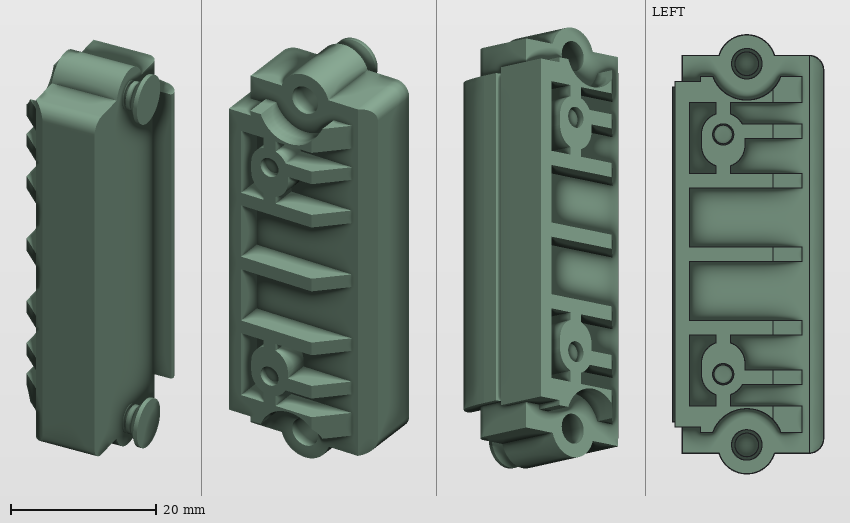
import cadquery as cq
HOUSING_FRONT_X = 4.0
HOUSING_BACK_X = 14.0
OVERALL_X = 17.0
HOUSING_TOP_Y = 19.5
OVERALL_Y = 20.8
HOUSING_HALF_Z = 27.4
OVERALL_HALF_Z = 60.47 / 2

HOUSING_BEVEL = 2.0
CORNER_RADIUS = 2.1
BACK_EDGE_RADIUS = 1.5

EAR_RADIUS = 4.0
EAR_Y = 10.6
EAR_Z = OVERALL_HALF_Z - EAR_RADIUS
SCREW_RADIUS = 2.1
SHANK_RADIUS = 1.63
SCREW_HEAD_RADIUS = 3.55
SCREW_TIP_X = 10.0
COLLAR_START_X = HOUSING_BACK_X - 1.0
COLLAR_END_X = HOUSING_BACK_X + 0.1
NECK_START_X = HOUSING_BACK_X + 0.5
HEAD_FLARE_X = 15.25
HEAD_FLARE_MID = (15.75, 2.68)
HEAD_RIM_X = 16.4

LIP_HALF_Z = 23.05
LIP_FRONT_X = 8.6
LIP_CURVE_START_X = 11.0
LIP_CURVE_MID = (15.1, 20.28)
LIP_NOSE_Y = 18.3
LIP_UNDERSIDE_Y = 17.8
LIP_NOSE_RADIUS = 0.4
LIP_RAMP_LENGTH = 0.5
LIP_RAMP_HEIGHT = 0.7

FRAME_TOP_Y = 20.5
FRAME_SKIRT_X = 7.9
FRAME_BEVEL_FRONT_Y = 7.0
FRAME_BEVEL_BACK_Y = FRAME_BEVEL_FRONT_Y - HOUSING_FRONT_X
FRAME_HALF_Z = 24.5
SKIRT_HALF_Z = 23.8
SKIRT_STEP_Y = 17.0
POCKET_TOP_Y = 18.5
POCKET_HALF_Z = 20.9
RIB_THICKNESS = 2.0
MAIN_RIB_Z = 10.1
BOSS_RIB_Z = 16.95
SCOOP_RADIUS = 5.0

BOSS_RADIUS = 3.0
BOSS_Y = 13.85
BOSS_Z = 16.5
BOSS_INNER_Z = 15.0
PIN_RADIUS = 1.46
PIN_END_RADIUS = 1.28
PIN_END_LENGTH = 0.5
PIN_FRONT_X = 1.0

SIDES = (-1, 1)


def box(x0, x1, y0, y1, z0, z1):
    """Block between two opposite corners."""
    return cq.Workplane("XY").box(x1 - x0, y1 - y0, z1 - z0, centered=False).translate((x0, y0, z0))


def rod(radius, y, z, x0, x1):
    """Cylinder along X."""
    return cq.Workplane("YZ", origin=(x0, y, z)).circle(radius).extrude(x1 - x0)


def prism(outline, half_z):
    """Extrude an XY outline equally to both sides of the middle plane."""
    return outline.extrude(half_z, both=True)


def make_lip():
    """Rounded lip that wraps the back edge of the +Y side, with a small ramp at its foot."""
    ramp_start_x = LIP_FRONT_X - LIP_RAMP_LENGTH
    inner_x = HOUSING_BACK_X - BACK_EDGE_RADIUS
    outline = (
        cq.Workplane("XY")
        .moveTo(ramp_start_x, HOUSING_TOP_Y)
        .lineTo(LIP_FRONT_X, HOUSING_TOP_Y + LIP_RAMP_HEIGHT)
        .lineTo(LIP_FRONT_X, OVERALL_Y)
        .lineTo(LIP_CURVE_START_X, OVERALL_Y)
        .tangentArcPoint(LIP_CURVE_MID, relative=False)
        .tangentArcPoint((OVERALL_X, LIP_NOSE_Y), relative=False)
        .lineTo(OVERALL_X, LIP_UNDERSIDE_Y + LIP_NOSE_RADIUS)
        .tangentArcPoint((OVERALL_X - LIP_NOSE_RADIUS, LIP_UNDERSIDE_Y), relative=False)
        .lineTo(inner_x, LIP_UNDERSIDE_Y)
        .lineTo(inner_x, HOUSING_TOP_Y)
        .close()
    )
    return prism(outline, LIP_HALF_Z)


def make_housing():
    """Rounded block with a bevelled front edge, the lip, two mounting ears and the bores."""
    body = box(
        HOUSING_FRONT_X, HOUSING_BACK_X, 0, HOUSING_TOP_Y, -HOUSING_HALF_Z, HOUSING_HALF_Z
    )
    body = body.edges("|X and <Y").fillet(CORNER_RADIUS)
    body = body.edges("|Z and >X and >Y").fillet(BACK_EDGE_RADIUS)
    bevel = prism(
        cq.Workplane("XY")
        .moveTo(HOUSING_FRONT_X, 0)
        .lineTo(HOUSING_FRONT_X + HOUSING_BEVEL, 0)
        .lineTo(HOUSING_FRONT_X, HOUSING_BEVEL)
        .close(),
        HOUSING_HALF_Z,
    )
    body = body.cut(bevel).union(make_lip())
    for side in SIDES:
        body = body.union(rod(EAR_RADIUS, EAR_Y, side * EAR_Z, HOUSING_FRONT_X, HOUSING_BACK_X))
    for side in SIDES:
        body = body.cut(rod(SCREW_RADIUS, EAR_Y, side * EAR_Z, HOUSING_FRONT_X, HOUSING_BACK_X))
        body = body.cut(rod(PIN_RADIUS, BOSS_Y, side * BOSS_Z, HOUSING_FRONT_X, HOUSING_BACK_X))
    return body


def frame_profile():
    """Cross-section of the frame: bevelled at -Y, with a skirt over the +Y side of the housing."""
    return (
        cq.Workplane("XY")
        .moveTo(0, FRAME_BEVEL_FRONT_Y)
        .lineTo(HOUSING_FRONT_X, FRAME_BEVEL_BACK_Y)
        .lineTo(HOUSING_FRONT_X, HOUSING_TOP_Y)
        .lineTo(FRAME_SKIRT_X, HOUSING_TOP_Y)
        .lineTo(FRAME_SKIRT_X, FRAME_TOP_Y)
        .lineTo(0, FRAME_TOP_Y)
        .close()
    )


def make_boss(side):
    """Oblong boss with the web that ties it to the walls above and below it."""
    boss = rod(BOSS_RADIUS, BOSS_Y, side * BOSS_Z, 0, HOUSING_FRONT_X)
    boss = boss.union(rod(BOSS_RADIUS, BOSS_Y, side * BOSS_INNER_Z, 0, HOUSING_FRONT_X))
    z_low, z_high = sorted((side * BOSS_INNER_Z, side * BOSS_Z))
    boss = boss.union(
        box(0, HOUSING_FRONT_X, BOSS_Y - BOSS_RADIUS, BOSS_Y + BOSS_RADIUS, z_low, z_high)
    )
    web_low, web_high = sorted((side * MAIN_RIB_Z, side * POCKET_HALF_Z))
    half_web = RIB_THICKNESS / 2
    return boss.union(
        box(0, HOUSING_FRONT_X, BOSS_Y - half_web, BOSS_Y + half_web, web_low, web_high)
    )


def make_rib(z, top_y):
    """Rib that runs from top_y to the bevelled -Y side of the frame."""
    half_rib = RIB_THICKNESS / 2
    span = box(0, HOUSING_FRONT_X, 0, top_y, z - half_rib, z + half_rib)
    return span.intersect(prism(frame_profile(), FRAME_HALF_Z))


def make_frame():
    """Open frame with ribs and bosses, scooped out around the mounting ears."""
    frame = prism(frame_profile(), FRAME_HALF_Z)
    frame = frame.cut(box(0, HOUSING_FRONT_X, 0, POCKET_TOP_Y, -POCKET_HALF_Z, POCKET_HALF_Z))
    for z in (-MAIN_RIB_Z, 0, MAIN_RIB_Z):
        frame = frame.union(make_rib(z, POCKET_TOP_Y))
    for side in SIDES:
        frame = frame.union(make_rib(side * BOSS_RIB_Z, BOSS_Y)).union(make_boss(side))
        frame = frame.cut(rod(PIN_RADIUS, BOSS_Y, side * BOSS_Z, 0, HOUSING_FRONT_X))
        frame = frame.cut(rod(SCOOP_RADIUS, EAR_Y, side * EAR_Z, 0, HOUSING_FRONT_X))
        step_low, step_high = sorted((side * SKIRT_HALF_Z, side * FRAME_HALF_Z))
        frame = frame.cut(box(0, FRAME_SKIRT_X, SKIRT_STEP_Y, FRAME_TOP_Y, step_low, step_high))
    return frame


def make_screw(side):
    """Captive screw turned about X: shank, collar in the ear hole, undercut, neck and flared head."""
    half_section = (
        cq.Workplane("XY")
        .moveTo(SCREW_TIP_X, 0)
        .lineTo(SCREW_TIP_X, SHANK_RADIUS)
        .lineTo(COLLAR_START_X, SHANK_RADIUS)
        .lineTo(COLLAR_START_X, SCREW_RADIUS)
        .lineTo(COLLAR_END_X, SCREW_RADIUS)
        .lineTo(COLLAR_END_X, SHANK_RADIUS)
        .lineTo(NECK_START_X, SHANK_RADIUS)
        .lineTo(NECK_START_X, SCREW_RADIUS)
        .lineTo(HEAD_FLARE_X, SCREW_RADIUS)
        .threePointArc(HEAD_FLARE_MID, (HEAD_RIM_X, SCREW_HEAD_RADIUS))
        .lineTo(OVERALL_X, SCREW_HEAD_RADIUS)
        .lineTo(OVERALL_X, 0)
        .close()
    )
    return half_section.revolve(360, (0, 0, 0), (1, 0, 0)).translate((0, EAR_Y, side * EAR_Z))


def make_pin(side):
    """Pin through boss and housing, stepped down at the end recessed in the boss."""
    shoulder_x = PIN_FRONT_X + PIN_END_LENGTH
    pin_end = rod(PIN_END_RADIUS, BOSS_Y, side * BOSS_Z, PIN_FRONT_X, shoulder_x)
    return pin_end.union(rod(PIN_RADIUS, BOSS_Y, side * BOSS_Z, shoulder_x, HOUSING_BACK_X))


housing = make_housing()
frame = make_frame()
screws = [make_screw(side) for side in SIDES]
pins = [make_pin(side) for side in SIDES]

result = cq.Compound.makeCompound(
    [housing.val(), frame.val()] + [screw.val() for screw in screws] + [pin.val() for pin in pins]
)